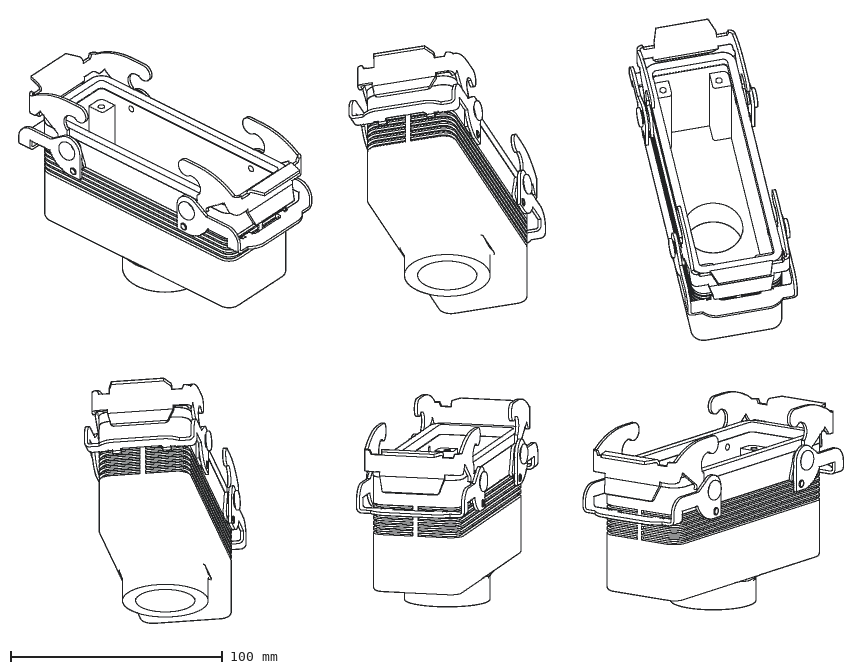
import cadquery as cq
import math

BODY_LENGTH = 120.0
BODY_WIDTH = 43.8
CORNER_RADIUS = 6.2
GLAND_HEIGHT = 13.2
RIM_TOP = 73.3
RIM_HEIGHT = 4.8
RIM_OVERHANG = 0.2
BOTTOM_FILLET = 1.8
WALL = 3.3
CAVITY_RADIUS = 2.7
RIM_LIP = 0.5

GLAND_RADIUS = 20.3
GLAND_BORE_RADIUS = 14.0
GLAND_FLARE = 2.1
FLARE_WIDTH = 41.3

POST_SIZE = 8.7
POST_EDGE_RADIUS = 1.5
POST_TOP = 61.9
SCREW_PITCH_X = 104.0
SCREW_PITCH_Y = 27.0
SCREW_DIAMETER = 3.0
SCREW_DEPTH = 15.0
DRILL_ANGLE = 118.0

GROOVE_BOTTOM = 40.9
GROOVE_PITCH = 2.55
GROOVE_HEIGHT = 1.65
GROOVE_ROOT = 0.9
GROOVE_DEPTH = 1.3
GROOVE_CLEARANCE = 1.0
GROOVE_COUNT = 6
END_STRIP_WIDTH = 2.6

SHEET = 1.5
BEND_IN = 1.2
BEND_OUT = BEND_IN + SHEET

PIVOT_X = -37.6
PIVOT_Z = 64.5
HUB_RADIUS = 7.0
PIN_DIAMETER = 3.0
COLLAR_DIAMETER = 5.4
NECK_DIAMETER = 6.2
HEAD_DIAMETER = 9.4
HEAD_OUTER_Y = 28.5
HEAD_THICKNESS = 1.5
HEAD_EDGE = 0.6

HOOK_OUTER_Y = 23.75
HOOK_INNER_Y = HOOK_OUTER_Y - SHEET
HOOK_BACK_X = -66.0
HOOK_FRONT_X = HOOK_BACK_X + SHEET
HOOK_BOTTOM_Z = 72.1
HOOK_TOP_Z = 89.5
SHOULDER_Z = 82.3
HOOK_HUB_RADIUS = 4.2
HUB_BOTTOM_Z = 54.4
LOBE_RIGHT_X = -30.8
LOBE_RADIUS = 3.0
BEAK_RADIUS = 4.3
BEAK_X = -33.4
MOUTH_RADIUS = 5.3
MOUTH_Z = 77.0
MOUTH_EXIT_X = -40.8
BROW_MIDDLE = (-52.6, 87.7)
BROW_END_X = -41.0
BEAK_LOWER_END = (-34.6, 81.1)
MOUTH_START = (-36.4, 82.15)
HEEL_START = (-46.9, 66.0)
HEEL_MIDDLE = (-46.5, 67.3)
HEEL_END = (-47.0, 68.4)
CROTCH = (-57.8, 76.1)
CROTCH_FOOT_X = -61.0
NOTCH_HALF_WIDTH = 20.0
NOTCH_FLARE = 0.8
NOTCH_Z = 80.3

TOTAL_LENGTH = 146.97
LIP_TIP_X = -TOTAL_LENGTH / 2
LIP_TOP_Z = 83.2
LIP_ROOT_OVERLAP = 1.0
LIP_BASE_HALF = 15.0
LIP_TIP_HALF = 12.6

APRON_HALF = 15.8
APRON_TIP_HALF = 12.4
APRON_CORNER_START = (14.1, 64.7)
APRON_CORNER_MIDDLE = (13.6, 63.3)
APRON_BEND_Z = 70.2
APRON_LENGTH = 8.0
APRON_TILT = 25.0

HANDLE_OUTER_Y = 26.4
HANDLE_INNER_Y = HANDLE_OUTER_Y - SHEET
HANDLE_BACK_X = -69.0
HANDLE_FRONT_X = -62.0
HANDLE_BOTTOM_Z = 52.5
HANDLE_PLATE_TOP = HANDLE_BOTTOM_Z + SHEET
ARM_TOP_Z = 65.5
ARM_BOTTOM_Z = 58.8
ELBOW_RADIUS = 7.5
ARM_SLOPE = 33.7
FOOT_BOTTOM_Z = 50.3
BELLY_START_X = -38.0
BELLY_MIDDLE = (-45.0, 53.1)
BELLY_END_X = -49.6
GRIP_X = -72.65
GRIP_HALF_WIDTH = 12.8
GRIP_ROOT_HALF_WIDTH = 19.4
GRIP_MIDDLE_X = -71.3
GRIP_MIDDLE_Y = 16.7
WINDOW_X = HOOK_FRONT_X
WINDOW_HALF_WIDTH = 10.0
WINDOW_RADIUS = 1.5
TAB_OUTER_Y = 14.0
TAB_FRONT_X = HANDLE_FRONT_X + SHEET
TAB_BOTTOM_Z = 51.1
RELIEF_WIDTH = 2.0
RELIEF_DEPTH = 0.9
STUD_X = -34.7
STUD_Z = 53.5
STUD_DIAMETER = 3.6
STUD_HEIGHT = 0.4
STUD_CHAMFER = 0.36

SIDES = (-1, 1)


def rounded_block(length, width, radius, z_bottom, z_top):
    block = cq.Workplane("XY", origin=(0, 0, z_bottom)).rect(length, width).extrude(z_top - z_bottom)
    return block.edges("|Z").fillet(radius)


def side_slab(profile, y_start, y_end):
    """Extrude a closed XZ profile from y_start to y_end."""
    return profile.extrude(-(y_end - y_start)).translate((0, y_start, 0))


def y_rod(diameter, x, z, y_start, y_end):
    return side_slab(cq.Workplane("XZ").center(x, z).circle(diameter / 2), y_start, y_end)


def mirrored_pair(shape):
    """The shape together with its mirror copy across the XZ plane."""
    return shape.union(shape.mirror("XZ"))


def groove_ring(z_bottom):
    """Ring to remove: narrow at the root, with sloped flanks, and open on the end strips."""
    outside = rounded_block(
        BODY_LENGTH + 2 * GROOVE_CLEARANCE,
        BODY_WIDTH + 2 * GROOVE_CLEARANCE,
        CORNER_RADIUS + GROOVE_CLEARANCE,
        z_bottom,
        z_bottom + GROOVE_HEIGHT,
    )
    core = rounded_block(
        BODY_LENGTH - 2 * GROOVE_DEPTH,
        BODY_WIDTH - 2 * GROOVE_DEPTH,
        CORNER_RADIUS - GROOVE_DEPTH,
        z_bottom,
        z_bottom + GROOVE_HEIGHT,
    )
    flank_height = (GROOVE_HEIGHT - GROOVE_ROOT) / 2
    flank_angle = math.degrees(math.atan(GROOVE_DEPTH / flank_height))
    section = cq.Sketch().rect(BODY_LENGTH, BODY_WIDTH).vertices().fillet(CORNER_RADIUS)
    flank = cq.Workplane("XY").placeSketch(section).extrude(flank_height, taper=flank_angle)
    lower_flank = flank.translate((0, 0, z_bottom))
    upper_flank = flank.mirror("XY").translate((0, 0, z_bottom + GROOVE_HEIGHT))
    end_strip = cq.Workplane("XY", origin=(0, 0, z_bottom)).rect(2 * BODY_LENGTH, END_STRIP_WIDTH)
    ring = outside.cut(core).cut(lower_flank).cut(upper_flank)
    return ring.cut(end_strip.extrude(GROOVE_HEIGHT))


def gland():
    """Round cable outlet with a concave flare that ends at the long edges of the underside."""
    flare_overlap = BOTTOM_FILLET / 2
    flared_pipe = (
        cq.Workplane("XZ")
        .lineTo(GLAND_RADIUS, 0)
        .lineTo(GLAND_RADIUS, GLAND_HEIGHT - GLAND_FLARE)
        .tangentArcPoint((GLAND_RADIUS + GLAND_FLARE, GLAND_HEIGHT), relative=False)
        .lineTo(GLAND_RADIUS + GLAND_FLARE, GLAND_HEIGHT + flare_overlap)
        .lineTo(0, GLAND_HEIGHT + flare_overlap)
        .close()
        .revolve(360, (0, 0, 0), (0, 1, 0))
    )
    underside = cq.Workplane("XY").rect(BODY_LENGTH, FLARE_WIDTH).extrude(GLAND_HEIGHT + flare_overlap)
    return flared_pipe.intersect(underside)


def screw_hole(x, y):
    """Blind hole with a drill point."""
    radius = SCREW_DIAMETER / 2
    point_height = radius / math.tan(math.radians(DRILL_ANGLE / 2))
    profile = (
        cq.Workplane("XZ")
        .moveTo(0, POST_TOP)
        .lineTo(radius, POST_TOP)
        .lineTo(radius, POST_TOP - SCREW_DEPTH)
        .lineTo(0, POST_TOP - SCREW_DEPTH - point_height)
        .close()
    )
    return profile.revolve(360, (0, 0, 0), (0, 1, 0)).translate((x, y, 0))


def cavity_space(rim_bottom):
    """Inside of the housing: narrower at the rim, with the four screw posts left standing."""
    floor_z = GLAND_HEIGHT + WALL
    length = BODY_LENGTH - 2 * WALL
    width = BODY_WIDTH - 2 * WALL
    space = rounded_block(length, width, CAVITY_RADIUS, floor_z, rim_bottom)
    for side_x in SIDES:
        for side_y in SIDES:
            corner = (side_x * length / 2, side_y * width / 2, floor_z)
            post = cq.Workplane("XY", origin=corner).rect(2 * POST_SIZE, 2 * POST_SIZE)
            post = post.extrude(POST_TOP - floor_z)
            space = space.cut(post.edges("|Z").fillet(POST_EDGE_RADIUS))
            space = space.union(screw_hole(side_x * SCREW_PITCH_X / 2, side_y * SCREW_PITCH_Y / 2))
    rim_opening = rounded_block(
        length - 2 * RIM_LIP, width - 2 * RIM_LIP, CAVITY_RADIUS - RIM_LIP, rim_bottom, RIM_TOP
    )
    return space.union(rim_opening)


def build_housing():
    rim_bottom = RIM_TOP - RIM_HEIGHT
    body = rounded_block(BODY_LENGTH, BODY_WIDTH, CORNER_RADIUS, GLAND_HEIGHT, RIM_TOP)
    body = body.faces("<Z").edges().fillet(BOTTOM_FILLET)
    body = body.union(
        rounded_block(
            BODY_LENGTH + 2 * RIM_OVERHANG,
            BODY_WIDTH + 2 * RIM_OVERHANG,
            CORNER_RADIUS + RIM_OVERHANG,
            rim_bottom,
            RIM_TOP,
        )
    )
    body = body.union(gland())
    for index in range(GROOVE_COUNT):
        body = body.cut(groove_ring(GROOVE_BOTTOM + index * GROOVE_PITCH))

    body = body.cut(cavity_space(rim_bottom))
    body = body.cut(cq.Workplane("XY").circle(GLAND_BORE_RADIUS).extrude(RIM_TOP))
    for side in SIDES:
        body = body.cut(y_rod(PIN_DIAMETER, side * PIVOT_X, PIVOT_Z, -BODY_WIDTH, BODY_WIDTH))
    return body


def hook_profile():
    """Side outline of a hook cheek, from its shoulder round the beak and mouth to the hub."""
    beak_z = HOOK_TOP_Z - BEAK_RADIUS
    mouth_exit_z = MOUTH_Z - math.sqrt(MOUTH_RADIUS**2 - (MOUTH_EXIT_X - PIVOT_X) ** 2)
    hub_left = PIVOT_X - HOOK_HUB_RADIUS
    hub_right = PIVOT_X + HOOK_HUB_RADIUS
    return (
        cq.Workplane("XZ")
        .moveTo(HOOK_BACK_X, HOOK_BOTTOM_Z)
        .lineTo(HOOK_BACK_X, SHOULDER_Z)
        .lineTo(HOOK_BACK_X + BEND_OUT, SHOULDER_Z)
        .threePointArc(BROW_MIDDLE, (BROW_END_X, HOOK_TOP_Z))
        .lineTo(BEAK_X, HOOK_TOP_Z)
        .threePointArc((BEAK_X + BEAK_RADIUS, beak_z), BEAK_LOWER_END)
        .lineTo(*MOUTH_START)
        .threePointArc((PIVOT_X - MOUTH_RADIUS, MOUTH_Z), (MOUTH_EXIT_X, mouth_exit_z))
        .lineTo(MOUTH_EXIT_X, PIVOT_Z + HOOK_HUB_RADIUS)
        .lineTo(PIVOT_X, PIVOT_Z + HOOK_HUB_RADIUS)
        .tangentArcPoint((hub_right, PIVOT_Z), relative=False)
        .lineTo(LOBE_RIGHT_X, HUB_BOTTOM_Z + LOBE_RADIUS)
        .tangentArcPoint((LOBE_RIGHT_X - LOBE_RADIUS, HUB_BOTTOM_Z), relative=False)
        .lineTo(hub_left, HUB_BOTTOM_Z)
        .lineTo(hub_left, PIVOT_Z)
        .lineTo(*HEEL_START)
        .threePointArc(HEEL_MIDDLE, HEEL_END)
        .lineTo(*CROTCH)
        .lineTo(CROTCH_FOOT_X, HOOK_BOTTOM_Z)
        .close()
    )


def hook_cheeks():
    """Back wall and both cheeks: a bent U strip trimmed to the hook outline."""
    outer = rounded_block(-2 * HOOK_BACK_X, 2 * HOOK_OUTER_Y, BEND_OUT, 0, HOOK_TOP_Z)
    inner = rounded_block(-2 * HOOK_FRONT_X, 2 * HOOK_INNER_Y, BEND_IN, 0, HOOK_TOP_Z)
    cheeks = outer.cut(inner).intersect(side_slab(hook_profile(), -HOOK_OUTER_Y, HOOK_OUTER_Y))
    notch = (
        cq.Workplane("YZ", origin=(HOOK_BACK_X, 0, 0))
        .moveTo(-NOTCH_HALF_WIDTH, NOTCH_Z)
        .lineTo(NOTCH_HALF_WIDTH, NOTCH_Z)
        .lineTo(NOTCH_HALF_WIDTH + NOTCH_FLARE, SHOULDER_Z)
        .lineTo(-NOTCH_HALF_WIDTH - NOTCH_FLARE, SHOULDER_Z)
        .close()
        .extrude(SHEET)
    )
    return cheeks.cut(notch)


def finger_lip():
    """Tongue that rises from the back wall and bends outward to a tapered flat lip."""
    lip_under_z = LIP_TOP_Z - SHEET
    root_z = NOTCH_Z - LIP_ROOT_OVERLAP
    strip = side_slab(
        cq.Workplane("XZ")
        .moveTo(HOOK_FRONT_X, root_z)
        .lineTo(HOOK_FRONT_X, LIP_TOP_Z - BEND_OUT)
        .tangentArcPoint((HOOK_FRONT_X - BEND_OUT, LIP_TOP_Z), relative=False)
        .lineTo(LIP_TIP_X, LIP_TOP_Z)
        .lineTo(LIP_TIP_X, lip_under_z)
        .lineTo(HOOK_BACK_X - BEND_IN, lip_under_z)
        .tangentArcPoint((HOOK_BACK_X, lip_under_z - BEND_IN), relative=False)
        .lineTo(HOOK_BACK_X, root_z)
        .close(),
        -LIP_BASE_HALF,
        LIP_BASE_HALF,
    )
    plan = (
        cq.Workplane("XY", origin=(0, 0, root_z))
        .moveTo(LIP_TIP_X, -LIP_TIP_HALF)
        .lineTo(HOOK_BACK_X, -LIP_BASE_HALF)
        .lineTo(HOOK_FRONT_X, -LIP_BASE_HALF)
        .lineTo(HOOK_FRONT_X, LIP_BASE_HALF)
        .lineTo(HOOK_BACK_X, LIP_BASE_HALF)
        .lineTo(LIP_TIP_X, LIP_TIP_HALF)
        .close()
        .extrude(LIP_TOP_Z - root_z)
    )
    return strip.intersect(plan)


def apron():
    """Flap below the back wall, tilted away from the housing."""
    tilt = math.radians(APRON_TILT)
    run = APRON_LENGTH * math.sin(tilt)
    drop = APRON_LENGTH * math.cos(tilt)
    end_x = SHEET * math.cos(tilt)
    end_z = SHEET * math.sin(tilt)
    inner_bend_z = APRON_BEND_Z - SHEET * math.tan(tilt / 2)
    tip_z = inner_bend_z - drop
    corner_y, corner_z = APRON_CORNER_START
    round_y, round_z = APRON_CORNER_MIDDLE
    strip = side_slab(
        cq.Workplane("XZ")
        .moveTo(HOOK_BACK_X, HOOK_BOTTOM_Z)
        .lineTo(HOOK_FRONT_X, HOOK_BOTTOM_Z)
        .lineTo(HOOK_FRONT_X, inner_bend_z)
        .lineTo(HOOK_FRONT_X - run, tip_z)
        .lineTo(HOOK_FRONT_X - run - end_x, tip_z + end_z)
        .lineTo(HOOK_BACK_X, APRON_BEND_Z)
        .close(),
        -APRON_HALF,
        APRON_HALF,
    )
    outline = (
        cq.Workplane("YZ", origin=(LIP_TIP_X, 0, 0))
        .moveTo(-APRON_HALF, HOOK_BOTTOM_Z)
        .lineTo(-APRON_HALF, APRON_BEND_Z)
        .lineTo(-corner_y, corner_z)
        .threePointArc((-round_y, round_z), (-APRON_TIP_HALF, tip_z))
        .lineTo(APRON_TIP_HALF, tip_z)
        .threePointArc((round_y, round_z), (corner_y, corner_z))
        .lineTo(APRON_HALF, APRON_BEND_Z)
        .lineTo(APRON_HALF, HOOK_BOTTOM_Z)
        .close()
        .extrude(HOOK_FRONT_X - LIP_TIP_X)
    )
    return strip.intersect(outline)


def handle_leg():
    """One flat leg: arm, hub and foot, down to the start of the bend at its outer end."""
    slope = math.radians(ARM_SLOPE)
    tangent_x = PIVOT_X - HUB_RADIUS * math.sin(slope)
    tangent_z = PIVOT_Z + HUB_RADIUS * math.cos(slope)
    slope_foot_x = tangent_x - (tangent_z - ARM_TOP_Z) / math.tan(slope)
    bend_top_z = HANDLE_BOTTOM_Z + BEND_OUT
    foot_right = PIVOT_X + HUB_RADIUS
    profile = (
        cq.Workplane("XZ")
        .moveTo(HANDLE_BACK_X, bend_top_z)
        .lineTo(HANDLE_BACK_X, ARM_TOP_Z - ELBOW_RADIUS)
        .tangentArcPoint((HANDLE_BACK_X + ELBOW_RADIUS, ARM_TOP_Z), relative=False)
        .lineTo(slope_foot_x, ARM_TOP_Z)
        .lineTo(tangent_x, tangent_z)
        .tangentArcPoint((foot_right, PIVOT_Z), relative=False)
        .lineTo(foot_right, FOOT_BOTTOM_Z)
        .lineTo(BELLY_START_X, FOOT_BOTTOM_Z)
        .threePointArc(BELLY_MIDDLE, (BELLY_END_X, ARM_BOTTOM_Z))
        .lineTo(HANDLE_FRONT_X, ARM_BOTTOM_Z)
        .lineTo(HANDLE_FRONT_X, bend_top_z)
        .close()
    )
    return side_slab(profile, HANDLE_INNER_Y, HANDLE_OUTER_Y)


def cross_plate():
    """Horizontal plate between the legs, with its two bends, grip, window and tabs."""
    bend_top_z = HANDLE_BOTTOM_Z + BEND_OUT
    full_width = 2 * HANDLE_OUTER_Y
    tray_length = HANDLE_FRONT_X - HANDLE_BACK_X
    tray_x = (HANDLE_FRONT_X + HANDLE_BACK_X) / 2
    outer = (
        cq.Workplane("XY", origin=(tray_x, 0, HANDLE_BOTTOM_Z))
        .box(tray_length, full_width, 2 * BEND_OUT, centered=(True, True, False))
        .edges("|X and <Z")
        .fillet(BEND_OUT)
    )
    inner = (
        cq.Workplane("XY", origin=(tray_x, 0, HANDLE_PLATE_TOP))
        .box(tray_length, 2 * HANDLE_INNER_Y, 2 * BEND_OUT, centered=(True, True, False))
        .edges("|X and <Z")
        .fillet(BEND_IN)
    )
    above = cq.Workplane("XY", origin=(tray_x, 0, bend_top_z)).rect(tray_length, full_width).extrude(BEND_OUT)
    plate = outer.cut(inner).cut(above)

    grip = (
        cq.Workplane("XY", origin=(0, 0, HANDLE_BOTTOM_Z))
        .moveTo(HANDLE_BACK_X, -GRIP_ROOT_HALF_WIDTH)
        .threePointArc((GRIP_MIDDLE_X, -GRIP_MIDDLE_Y), (GRIP_X, -GRIP_HALF_WIDTH))
        .lineTo(GRIP_X, GRIP_HALF_WIDTH)
        .threePointArc((GRIP_MIDDLE_X, GRIP_MIDDLE_Y), (HANDLE_BACK_X, GRIP_ROOT_HALF_WIDTH))
        .close()
        .extrude(SHEET)
    )
    window = (
        cq.Workplane("XY", origin=(HANDLE_FRONT_X, 0, HANDLE_BOTTOM_Z))
        .rect(2 * (HANDLE_FRONT_X - WINDOW_X), 2 * WINDOW_HALF_WIDTH)
        .extrude(SHEET)
        .edges("|Z and <X")
        .fillet(WINDOW_RADIUS)
    )
    relief = (
        cq.Workplane("XY", origin=(HANDLE_FRONT_X, TAB_OUTER_Y + RELIEF_WIDTH / 2, HANDLE_BOTTOM_Z))
        .rect(2 * RELIEF_DEPTH, RELIEF_WIDTH)
        .extrude(SHEET)
    )
    tab = side_slab(
        cq.Workplane("XZ")
        .moveTo(HANDLE_FRONT_X - SHEET, HANDLE_PLATE_TOP)
        .lineTo(HANDLE_FRONT_X, HANDLE_PLATE_TOP)
        .tangentArcPoint((TAB_FRONT_X, HANDLE_BOTTOM_Z), relative=False)
        .lineTo(TAB_FRONT_X, TAB_BOTTOM_Z)
        .lineTo(HANDLE_FRONT_X, TAB_BOTTOM_Z)
        .lineTo(HANDLE_FRONT_X, HANDLE_BOTTOM_Z)
        .lineTo(HANDLE_FRONT_X - SHEET, HANDLE_BOTTOM_Z)
        .close(),
        WINDOW_HALF_WIDTH,
        TAB_OUTER_Y,
    )
    plate = plate.union(grip).cut(window).cut(mirrored_pair(relief))
    return plate.union(mirrored_pair(tab))


def rivet():
    """Pivot pin in the housing wall, spacing collar, neck and rounded head."""
    cavity_y = BODY_WIDTH / 2 - WALL
    head_inner_y = HEAD_OUTER_Y - HEAD_THICKNESS
    pin = y_rod(PIN_DIAMETER, PIVOT_X, PIVOT_Z, cavity_y, HOOK_OUTER_Y)
    collar = y_rod(COLLAR_DIAMETER, PIVOT_X, PIVOT_Z, HOOK_OUTER_Y, HANDLE_INNER_Y)
    neck = y_rod(NECK_DIAMETER, PIVOT_X, PIVOT_Z, HANDLE_OUTER_Y, head_inner_y)
    head = y_rod(HEAD_DIAMETER, PIVOT_X, PIVOT_Z, head_inner_y, HEAD_OUTER_Y).edges().fillet(HEAD_EDGE)
    return pin.union(collar).union(neck).union(head)


def stud():
    """Small chamfered stud that ties the handle foot to the hook hub."""
    rod = y_rod(STUD_DIAMETER, STUD_X, STUD_Z, HOOK_OUTER_Y, HANDLE_OUTER_Y + STUD_HEIGHT)
    return rod.faces(">Y").chamfer(STUD_CHAMFER)


def build_latch():
    latch = hook_cheeks().union(finger_lip()).union(apron())
    latch = latch.union(mirrored_pair(handle_leg())).union(cross_plate())
    return latch.union(mirrored_pair(rivet())).union(mirrored_pair(stud()))


housing = build_housing()
left_latch = build_latch()
latches = [left_latch, left_latch.mirror("YZ")]

result = cq.Compound.makeCompound([housing.val(), *[latch.val() for latch in latches]])